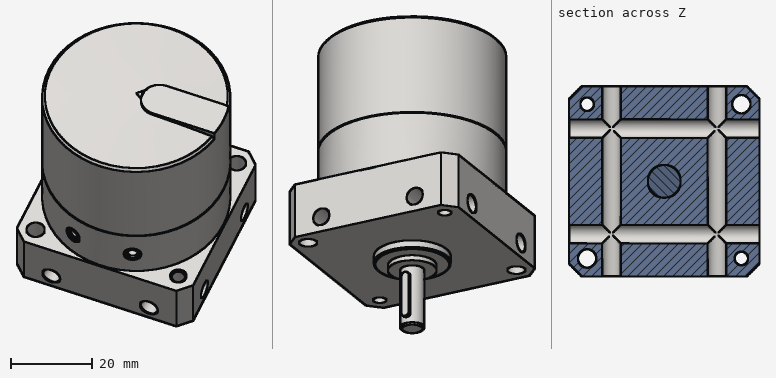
import cadquery as cq
import math


SHAFT_END_Z = 0
KEY_CENTRE_Z = 8.0
HUB_BOTTOM_Z = 15.9
HUB_TOP_Z = 17.25
RUNNING_GAP = 0.2
COLLAR_BOTTOM_Z = HUB_TOP_Z + RUNNING_GAP
PLATE_BOTTOM_Z = 19.7
PLATE_THICKNESS = 14.3
PLATE_TOP_Z = PLATE_BOTTOM_Z + PLATE_THICKNESS
SIDE_HOLE_Z = 23.6
PORT_Z = 40.6
HOUSING_TOP_Z = 47.95
CAP_BOTTOM_Z = HOUSING_TOP_Z + RUNNING_GAP
CAP_SHOULDER_Z = 73.8
DOME_APEX_Z = 75.55
POINTER_TOP_Z = 76

BODY_DIAMETER = 46.4
BODY_RADIUS = BODY_DIAMETER / 2
PLATE_WIDTH = 47.0
PLATE_CORNER_CHAMFER = 3.2
COLLAR_DIAMETER = 19
COLLAR_CHAMFER = 0.4
SEAT_DIAMETER = 35.3
BORE_DIAMETER = 8.0

CORNER_HOLE_OFFSET = 19
CLEARANCE_HOLE_DIAMETER = 4.5
THREADED_HOLE_DIAMETER = 3.3
THREADED_HOLE_MOUTH = 4.0
SIDE_HOLE_OFFSET = 13.0
SIDE_HOLE_DIAMETER = 4.5
SIDE_HOLE_MOUTH = 4.8

PORT_ANGLE = 20
PORT_DIAMETER = 2.4
PORT_MOUTH = 3.3
PORT_DEPTH = 6.1
SPOTFACE_DIAMETER = 4.3
SPOTFACE_DEPTH = 0.15

SHAFT_DIAMETER = 6.0
SHAFT_CHAMFER = 0.45
HUB_DIAMETER = 12.0
KEY_WIDTH = 2.0
KEY_LENGTH = 12.0
KEY_TOP_Y = 3.8
CAP_CHAMFER = 0.7
POINTER_WIDTH = 9.2
POINTER_TIP_X = 1.6


def cylinder(diameter, bottom_z, top_z):
    """Upright cylinder on the Z axis."""
    height = top_z - bottom_z
    return cq.Workplane("XY").workplane(offset=bottom_z).circle(diameter / 2).extrude(height)


def drill(mouth, direction, diameter, depth):
    """Straight cutter that starts at the point mouth."""
    tool = cq.Solid.makeCylinder(diameter / 2, depth, cq.Vector(*mouth), cq.Vector(*direction))
    return cq.Workplane(tool)


def countersunk_drill(mouth, direction, diameter, depth, mouth_diameter):
    """Cutter that narrows at 45 degrees from the mouth diameter to the hole diameter."""
    hole_radius = diameter / 2
    mouth_radius = mouth_diameter / 2
    countersink_depth = mouth_radius - hole_radius
    countersink = cq.Solid.makeCone(
        mouth_radius, hole_radius, countersink_depth, cq.Vector(*mouth), cq.Vector(*direction)
    )
    return drill(mouth, direction, diameter, depth).union(cq.Workplane(countersink))


def cut_corner_holes(plate):
    """Two clearance holes on one diagonal, two threaded holes on the other."""
    down = (0, 0, -1)
    for side in (-1, 1):
        x = side * CORNER_HOLE_OFFSET
        clearance_mouth = (x, x, PLATE_TOP_Z)
        threaded_mouth = (x, -x, PLATE_TOP_Z)
        plate = plate.cut(drill(clearance_mouth, down, CLEARANCE_HOLE_DIAMETER, PLATE_THICKNESS))
        plate = plate.cut(
            countersunk_drill(
                threaded_mouth, down, THREADED_HOLE_DIAMETER, PLATE_THICKNESS, THREADED_HOLE_MOUTH
            )
        )
    return plate


def cut_side_holes(plate):
    """Two holes along X and two along Y, right through the plate."""
    face = -PLATE_WIDTH / 2
    for offset in (-SIDE_HOLE_OFFSET, SIDE_HOLE_OFFSET):
        along_x = ((face, offset, SIDE_HOLE_Z), (1, 0, 0))
        along_y = ((offset, face, SIDE_HOLE_Z), (0, 1, 0))
        for mouth, direction in (along_x, along_y):
            plate = plate.cut(
                countersunk_drill(mouth, direction, SIDE_HOLE_DIAMETER, PLATE_WIDTH, SIDE_HOLE_MOUTH)
            )
    return plate


def make_plate():
    """Square mounting plate with chamfered corners and its holes."""
    blank = (
        cq.Workplane("XY")
        .workplane(offset=PLATE_BOTTOM_Z)
        .rect(PLATE_WIDTH, PLATE_WIDTH)
        .extrude(PLATE_THICKNESS)
        .edges("|Z")
        .chamfer(PLATE_CORNER_CHAMFER)
    )
    return cut_side_holes(cut_corner_holes(blank))


def cut_ports(housing):
    """Spotfaced and countersunk radial ports."""
    floor_radius = BODY_RADIUS - SPOTFACE_DEPTH
    for angle in (-PORT_ANGLE, PORT_ANGLE):
        outward_x = math.sin(math.radians(angle))
        outward_y = -math.cos(math.radians(angle))
        inward = (-outward_x, -outward_y, 0)
        outward = (outward_x, outward_y, 0)
        mouth = (floor_radius * outward_x, floor_radius * outward_y, PORT_Z)
        spotface = drill(mouth, outward, SPOTFACE_DIAMETER, SPOTFACE_DIAMETER)
        port = countersunk_drill(mouth, inward, PORT_DIAMETER, PORT_DEPTH, PORT_MOUTH)
        housing = housing.cut(spotface).cut(port)
    return housing


def make_housing():
    """Fixed body: collar, plate, round body and cap seat, bored through for the rotor."""
    collar = cylinder(COLLAR_DIAMETER, COLLAR_BOTTOM_Z, PLATE_BOTTOM_Z)
    collar = collar.faces("<Z").edges().chamfer(COLLAR_CHAMFER)
    housing = (
        make_plate()
        .union(collar)
        .union(cylinder(BODY_DIAMETER, PLATE_TOP_Z, HOUSING_TOP_Z))
        .union(cylinder(SEAT_DIAMETER, HOUSING_TOP_Z, CAP_BOTTOM_Z))
        .cut(cylinder(BORE_DIAMETER, COLLAR_BOTTOM_Z, CAP_BOTTOM_Z))
    )
    return cut_ports(housing)


def make_domed_cap():
    """Round cap with a chamfered rim and a shallow spherical top."""
    dome_edge_radius = BODY_RADIUS - CAP_CHAMFER
    dome_edge_z = CAP_SHOULDER_Z + CAP_CHAMFER
    dome_rise = DOME_APEX_Z - dome_edge_z
    sphere_radius = (dome_edge_radius**2 + dome_rise**2) / (2 * dome_rise)
    sphere_centre_z = DOME_APEX_Z - sphere_radius
    mid_radius = dome_edge_radius / 2
    mid_z = sphere_centre_z + math.sqrt(sphere_radius**2 - mid_radius**2)
    return (
        cq.Workplane("XZ")
        .moveTo(0, CAP_BOTTOM_Z)
        .lineTo(BODY_RADIUS, CAP_BOTTOM_Z)
        .lineTo(BODY_RADIUS, CAP_SHOULDER_Z)
        .lineTo(dome_edge_radius, dome_edge_z)
        .threePointArc((mid_radius, mid_z), (0, DOME_APEX_Z))
        .close()
        .revolve(360, (0, 0), (0, 1))
    )


def make_pointer():
    """Flat-topped bar with a round tip near the centre, running out to the cap's +X side."""
    height = POINTER_TOP_Z - CAP_SHOULDER_Z
    tip_centre_x = POINTER_TIP_X + POINTER_WIDTH / 2
    base = cq.Workplane("XY").workplane(offset=CAP_SHOULDER_Z).center(tip_centre_x, 0)
    tip = base.circle(POINTER_WIDTH / 2).extrude(height)
    bar = base.center(BODY_RADIUS / 2, 0).rect(BODY_RADIUS, POINTER_WIDTH).extrude(height)
    cap_outline = cylinder(BODY_DIAMETER, CAP_SHOULDER_Z, POINTER_TOP_Z)
    return tip.union(bar).intersect(cap_outline)


def make_key():
    """Round-ended key standing out of the shaft on its +Y side."""
    return (
        cq.Workplane("XZ")
        .center(0, KEY_CENTRE_Z)
        .slot2D(KEY_LENGTH, KEY_WIDTH, 90)
        .extrude(-KEY_TOP_Y)
    )


def make_rotor():
    """Turning body: keyed output shaft, hub, inner shaft in the bore, and cap with pointer."""
    shaft = cylinder(SHAFT_DIAMETER, SHAFT_END_Z, HUB_BOTTOM_Z)
    shaft = shaft.faces("<Z").edges().chamfer(SHAFT_CHAMFER)
    return (
        shaft.union(make_key())
        .union(cylinder(HUB_DIAMETER, HUB_BOTTOM_Z, HUB_TOP_Z))
        .union(cylinder(BORE_DIAMETER, HUB_TOP_Z, CAP_BOTTOM_Z))
        .union(make_domed_cap())
        .union(make_pointer())
    )


housing = make_housing()
rotor = make_rotor()

result = cq.Compound.makeCompound([housing.solids().val(), rotor.solids().val()])